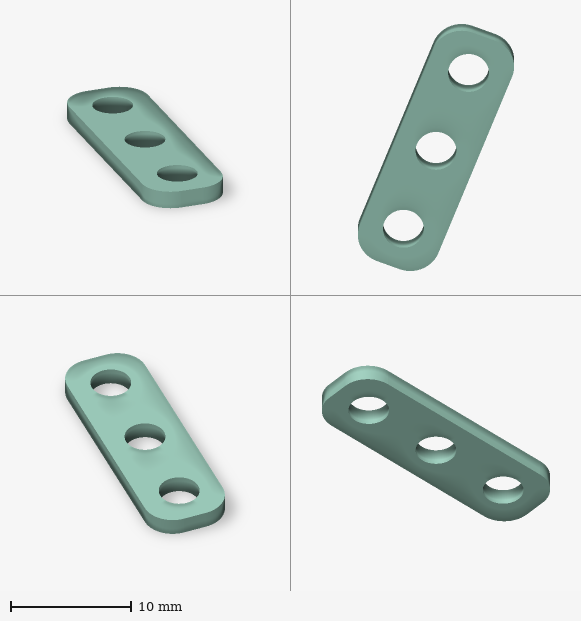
import cadquery as cq

length = 22.0
width = 7.0
thickness = 1.5
corner_radius = 2.5

hole_count = 3
hole_pitch = 7.5
hole_diameter = 3.4


def make_plate():
    """Flat plate, centred in X and Y and resting on Z = 0, with rounded vertical corners."""
    plate = cq.Workplane("XY").box(length, width, thickness, centered=(True, True, False))
    return plate.edges("|Z").fillet(corner_radius)


def drill_holes(plate):
    """Evenly spaced through holes, with the row centred along X."""
    first_hole_x = -hole_pitch * (hole_count - 1) / 2
    centres = [(first_hole_x + index * hole_pitch, 0) for index in range(hole_count)]
    return plate.faces(">Z").workplane().pushPoints(centres).hole(hole_diameter)


result = drill_holes(make_plate())